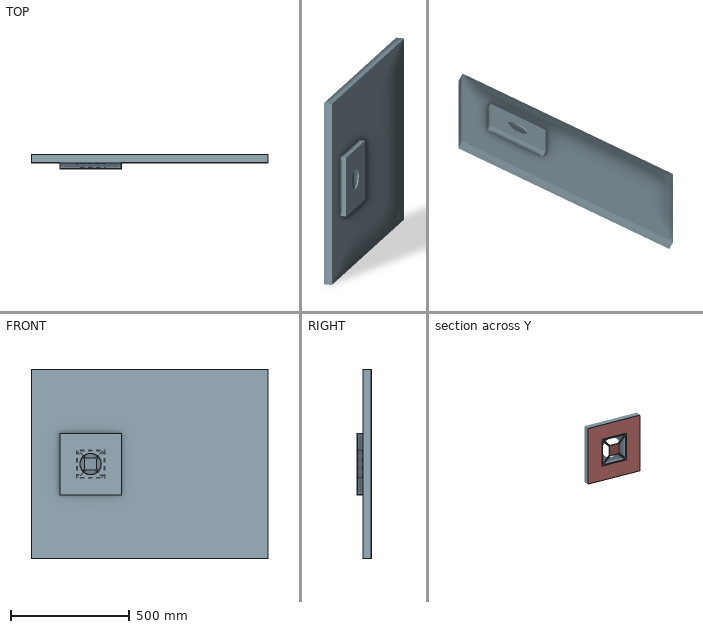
import cadquery as cq

panel_width = 1000.0
panel_height = 800.0
panel_thickness = 36.0

plate_size = 260.0
plate_thickness = 25.0
plate_center_x = -panel_width / 4
hole_diameter = 90.0

rim_thickness = 5.0
chamber_size = 120.0
chamber_depth = plate_thickness - rim_thickness

grille_thickness = 2.0
border_width = 4.0
hub_size = 50.0
arm_width = 7.0
arm_length = 2 * chamber_size
arm_angles = (45, -45)


def front_sketch():
    """Workplane on the front face of the panel, facing -Y and centred on the plate."""
    return cq.Workplane(cq.Plane((plate_center_x, 0, 0), xDir=(1, 0, 0), normal=(0, -1, 0)))


def square_block(size, thickness):
    """Square block standing on the front face of the panel."""
    return front_sketch().rect(size, size).extrude(thickness)


def make_panel():
    """Plain rectangular slab."""
    return cq.Workplane("XY").box(
        panel_width, panel_thickness, panel_height, centered=(True, False, True)
    )


def make_plate():
    """Square plate with a round hole that opens into a wider square chamber."""
    hole = front_sketch().circle(hole_diameter / 2).extrude(plate_thickness)
    chamber = square_block(chamber_size, chamber_depth)
    return square_block(plate_size, plate_thickness).cut(hole).cut(chamber)


def make_grille():
    """Square border joined by diagonal arms to a square hub, leaving four windows."""
    outline = square_block(chamber_size, grille_thickness)
    opening = square_block(chamber_size - 2 * border_width, grille_thickness)
    grille = outline.cut(opening).union(square_block(hub_size, grille_thickness))
    for angle in arm_angles:
        arm = (
            front_sketch()
            .transformed(rotate=(0, 0, angle))
            .rect(arm_length, arm_width)
            .extrude(grille_thickness)
        )
        grille = grille.union(arm.intersect(outline))
    return grille


panel = make_panel()
plate = make_plate()
grille = make_grille()

result = cq.Compound.makeCompound([panel.val(), plate.val(), grille.val()])